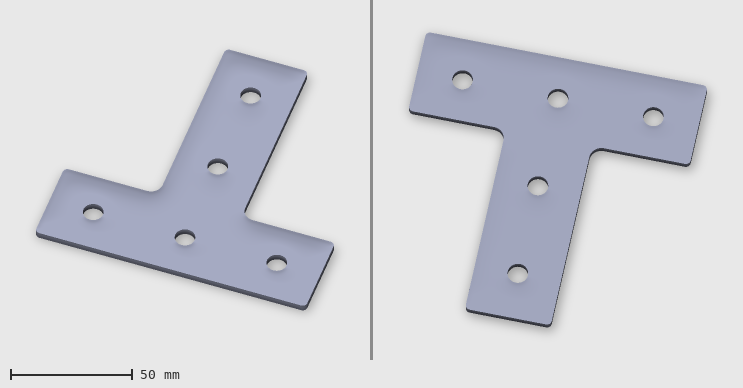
import cadquery as cq

span = 118.0
arm_width = 36.0
thickness = 3.0

outer_radius = 2.0
inner_radius = 5.0

hole_diameter = 8.5
hole_pitch = 40.0
hole_row_y = arm_width / 2


def bar(width, depth):
    """Rectangular bar centred on X, with its front edge on Y = 0."""
    return cq.Workplane("XY").box(width, depth, thickness, centered=(True, False, False))


def vertical_edges_at(plate, points):
    """Vertical edges of the plate standing at the given plan points."""
    mid_height = thickness / 2
    selected = plate.newObject([])
    for x, y in points:
        edge = plate.edges(cq.selectors.NearestToPointSelector((x, y, mid_height)))
        selected = selected.add(edge)
    return selected


def rounded_tee():
    """T-shaped plate with rounded corners."""
    plate = bar(span, arm_width).union(bar(arm_width, span))
    inner_corners = [(side * arm_width / 2, arm_width) for side in (-1, 1)]
    outer_corners = []
    for side in (-1, 1):
        outer_corners.append((side * span / 2, 0))
        outer_corners.append((side * span / 2, arm_width))
        outer_corners.append((side * arm_width / 2, span))
    plate = vertical_edges_at(plate, inner_corners).fillet(inner_radius)
    return vertical_edges_at(plate, outer_corners).fillet(outer_radius)


def bolt_holes():
    """Through-hole cutters: three along the crossbar and two more up the stem."""
    crossbar_holes = [(column * hole_pitch, hole_row_y) for column in (-1, 0, 1)]
    stem_holes = [(0, hole_row_y + row * hole_pitch) for row in (1, 2)]
    return (
        cq.Workplane("XY")
        .pushPoints(crossbar_holes + stem_holes)
        .circle(hole_diameter / 2)
        .extrude(thickness)
    )


result = rounded_tee().cut(bolt_holes())